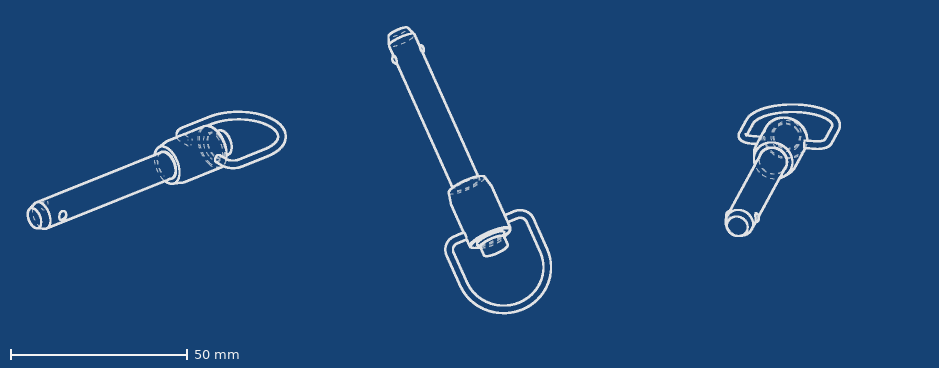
import cadquery as cq

overall_length = 88.8

shank_radius = 4.0
tip_radius = 3.0
tip_length = 2.6

ball_radius = 1.4
ball_reach = 4.8
ball_y = 7.1

body_diameter = 12.7
body_radius = body_diameter / 2
body_nose_radius = 5.6
body_bottom = 48.95
body_taper_top = 52.3
body_top = 66.0
body_edge_chamfer = 0.3

guide_radius = 4.1
guide_length = 0.2

collar_bottom_radius = 4.3
collar_top_radius = 4.0
collar_top = 67.2
button_radius = 3.7
button_top = 70.0
button_edge_fillet = 0.35

ring_width = 27.0
wire_diameter = 2.2
wire_radius = wire_diameter / 2
ring_bend_radius = 3.1
ring_leg_y = 62.5


def make_turned_parts():
    """Shank, handle body and button as one solid of revolution about Y."""
    guide_bottom = body_bottom - guide_length
    rim_radius = body_radius - body_edge_chamfer
    profile = (
        cq.Workplane("XY")
        .moveTo(0, 0)
        .lineTo(tip_radius, 0)
        .lineTo(shank_radius, tip_length)
        .lineTo(shank_radius, guide_bottom)
        .lineTo(guide_radius, guide_bottom)
        .lineTo(guide_radius, body_bottom)
        .lineTo(body_nose_radius, body_bottom)
        .lineTo(body_radius, body_taper_top)
        .lineTo(body_radius, body_top - body_edge_chamfer)
        .lineTo(rim_radius, body_top)
        .lineTo(collar_bottom_radius, body_top)
        .lineTo(collar_top_radius, collar_top)
        .lineTo(button_radius, collar_top)
        .lineTo(button_radius, button_top)
        .lineTo(0, button_top)
        .close()
    )
    turned = profile.revolve(360, (0, 0, 0), (0, 1, 0))
    return turned.faces(">Y").edges().fillet(button_edge_fillet)


def make_locking_balls():
    """Two balls that stand out of opposite sides of the shank."""
    ball_x = ball_reach - ball_radius
    return cq.Workplane("XY").pushPoints([(-ball_x, ball_y), (ball_x, ball_y)]).sphere(ball_radius)


def make_pull_ring():
    """Round wire swept from the body, around the loop and back into the body."""
    half_width = ring_width / 2 - wire_radius
    arc_top = overall_length - wire_radius
    arc_base = arc_top - half_width
    bend_x = half_width - ring_bend_radius
    bend_y = ring_leg_y + ring_bend_radius
    end_x = body_radius / 2
    path = (
        cq.Workplane("XY")
        .moveTo(-end_x, ring_leg_y)
        .lineTo(-bend_x, ring_leg_y)
        .tangentArcPoint((-half_width, bend_y), relative=False)
        .lineTo(-half_width, arc_base)
        .threePointArc((0, arc_top), (half_width, arc_base))
        .lineTo(half_width, bend_y)
        .tangentArcPoint((bend_x, ring_leg_y), relative=False)
        .lineTo(end_x, ring_leg_y)
    )
    section = cq.Workplane("YZ", origin=(-end_x, ring_leg_y, 0)).circle(wire_radius)
    return section.sweep(path)


result = make_turned_parts().union(make_locking_balls()).union(make_pull_ring())